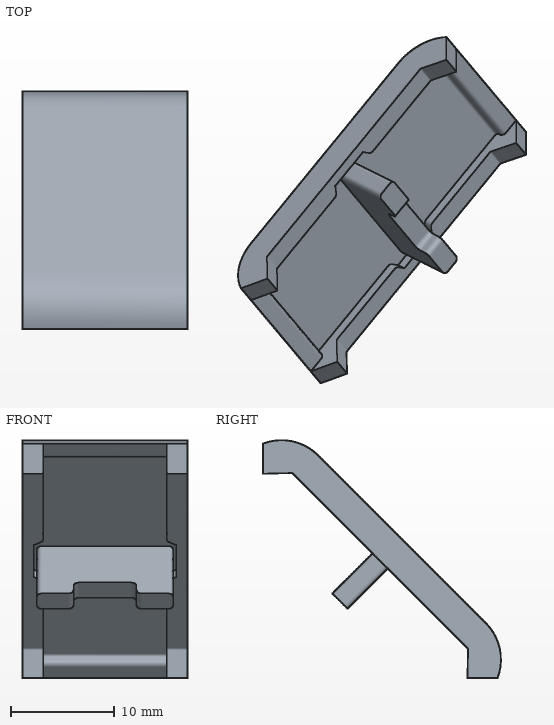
import cadquery as cq
import math

WIDTH = 16.0
HALF_SPAN = 11.55

THICKNESS = 3.0
BEND_RADIUS = 5.0
INNER_EDGE = 11.17
TAB_WIDTH = 2.0
TAB_EDGE = 8.26
TAB_ROOT = 8.33
TAB_CORNER_RADIUS = 0.23

POCKET_DEPTH = 1.0
POCKET_HALF_LENGTH = 14.0
LIP_RADIUS = 0.48
FLOOR_RADIUS = 0.3
BAY_WIDTH = 13.85
BAY_HALF_LENGTH = 2.17
BAY_SLANT = math.radians(30)
BAY_MOUTH_RADIUS = 0.5

RIB_WIDTH = 13.2
RIB_THICKNESS = 2.1
RIB_REACH = 5.5
RIB_EDGE_RADIUS = 0.46
NOTCH_WIDTH = 6.1
NOTCH_DEPTH = 1.5
NOTCH_RADIUS = 0.5

COS45 = math.sqrt(0.5)
POCKET_WIDTH = WIDTH - 2 * TAB_WIDTH
bend_center = HALF_SPAN - BEND_RADIUS
bend_end = bend_center + BEND_RADIUS * COS45
inner_sum = INNER_EDGE - HALF_SPAN
outer_sum = inner_sum + THICKNESS / COS45

inner_origin = (0, inner_sum / 2, inner_sum / 2)
section = cq.Plane(origin=inner_origin, xDir=(0, -1, 1), normal=(1, 0, 0))
face = cq.Plane(origin=inner_origin, xDir=(1, 0, 0), normal=(0, -1, -1))


def swapped(point):
    """Mirror a (Y, Z) point to the other end of the plate."""
    return (point[1], point[0])


def make_plate():
    straight_end = (outer_sum - bend_end, bend_end)
    center_y = straight_end[0] - BEND_RADIUS * COS45
    crown = (center_y, HALF_SPAN)
    edge_rise = math.sqrt(BEND_RADIUS**2 - (HALF_SPAN + center_y) ** 2)
    outer_edge = (-HALF_SPAN, bend_center + edge_rise)
    tab_edge = (-HALF_SPAN, TAB_EDGE)
    tab_root = (inner_sum - TAB_ROOT, TAB_ROOT)
    plate = (
        cq.Workplane("YZ")
        .moveTo(*outer_edge)
        .threePointArc(crown, straight_end)
        .lineTo(*swapped(straight_end))
        .threePointArc(swapped(crown), swapped(outer_edge))
        .lineTo(*swapped(tab_edge))
        .lineTo(*swapped(tab_root))
        .lineTo(*tab_root)
        .lineTo(*tab_edge)
        .close()
        .extrude(WIDTH / 2, both=True)
    )
    for y, z in (tab_root, swapped(tab_root)):
        reach = TAB_CORNER_RADIUS
        corner = cq.selectors.BoxSelector((-WIDTH, y - reach, z - reach), (WIDTH, y + reach, z + reach))
        plate = plate.edges(corner).fillet(TAB_CORNER_RADIUS)
    return plate


def make_pocket():
    """Space between the tabs, plus the pocket with rounded lips and floor corners."""
    half = POCKET_HALF_LENGTH
    floor = -POCKET_DEPTH
    clearance = 2 * HALF_SPAN
    lip_mid = LIP_RADIUS * (1 - COS45)
    floor_mid = FLOOR_RADIUS * (1 - COS45)
    cutter = (
        cq.Workplane(section)
        .moveTo(0, floor)
        .lineTo(half - FLOOR_RADIUS, floor)
        .threePointArc((half - floor_mid, floor + floor_mid), (half, floor + FLOOR_RADIUS))
        .lineTo(half, -LIP_RADIUS)
        .threePointArc((half + lip_mid, -lip_mid), (half + LIP_RADIUS, 0))
        .lineTo(clearance, 0)
        .lineTo(clearance, clearance)
        .lineTo(0, clearance)
        .close()
        .extrude(POCKET_WIDTH / 2, both=True)
    )
    other_half = cutter.rotate(face.origin, face.origin + face.zDir, 180)
    return cutter.union(other_half)


def make_bay():
    """Widened pocket around the rib, with slanted ends rounded into the pocket sides."""
    mouth_x = POCKET_WIDTH / 2
    mouth_y = BAY_HALF_LENGTH + (BAY_WIDTH / 2 - mouth_x) * math.tan(BAY_SLANT)
    tangent = BAY_MOUTH_RADIUS * math.tan((math.pi / 2 - BAY_SLANT) / 2)
    arc_start = (mouth_x + tangent * math.cos(BAY_SLANT), mouth_y - tangent * math.sin(BAY_SLANT))
    arc_end = (mouth_x, mouth_y + tangent)
    mid_angle = math.pi / 4 + BAY_SLANT / 2
    arc_mid = (
        mouth_x + BAY_MOUTH_RADIUS * (1 - math.sin(mid_angle)),
        mouth_y + tangent - BAY_MOUTH_RADIUS * math.cos(mid_angle),
    )
    side = (
        cq.Workplane(face)
        .moveTo(0, arc_end[1])
        .lineTo(*arc_end)
        .threePointArc(arc_mid, arc_start)
        .lineTo(BAY_WIDTH / 2, BAY_HALF_LENGTH)
        .lineTo(BAY_WIDTH / 2, -BAY_HALF_LENGTH)
        .lineTo(arc_start[0], -arc_start[1])
        .threePointArc((arc_mid[0], -arc_mid[1]), (arc_end[0], -arc_end[1]))
        .lineTo(0, -arc_end[1])
        .close()
        .extrude(-POCKET_DEPTH)
    )
    return side.union(side.mirror("YZ"))


def make_rib():
    along_rib = cq.selectors.ParallelDirSelector(face.zDir)
    across_rib = cq.selectors.ParallelDirSelector(face.yDir)
    rib = (
        cq.Workplane(face)
        .workplane(offset=-POCKET_DEPTH)
        .rect(RIB_WIDTH, RIB_THICKNESS)
        .extrude(POCKET_DEPTH + RIB_REACH)
        .edges(along_rib)
        .fillet(RIB_EDGE_RADIUS)
    )
    notch = (
        cq.Workplane(face)
        .workplane(offset=RIB_REACH - NOTCH_DEPTH)
        .rect(NOTCH_WIDTH, RIB_THICKNESS)
        .extrude(NOTCH_DEPTH)
    )
    reach = NOTCH_WIDTH / 2 + NOTCH_RADIUS
    notch_region = cq.selectors.BoxSelector((-reach, -HALF_SPAN, -HALF_SPAN), (reach, HALF_SPAN, HALF_SPAN))
    return rib.cut(notch).edges(across_rib).edges(notch_region).fillet(NOTCH_RADIUS)


result = make_plate().cut(make_pocket()).cut(make_bay()).union(make_rib())